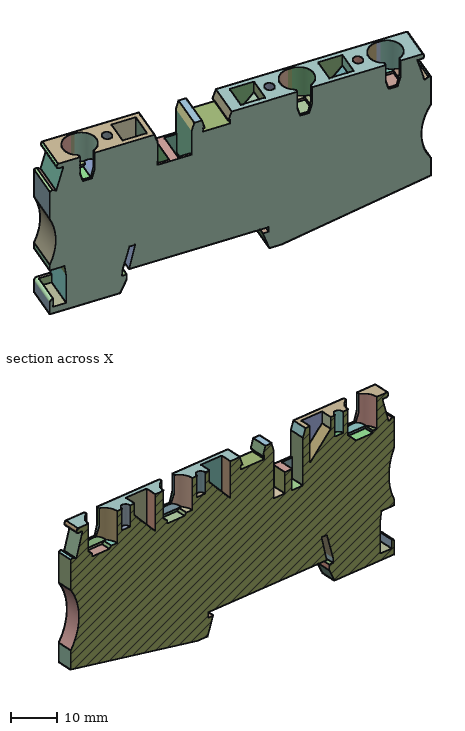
import cadquery as cq

WIDTH = 8.1
HALF_LENGTH = 45.25
HEIGHT = 42.2
CUT_MARGIN = 0.9

LIP_TOP_Y = 43.3
LIP_Y = 43.6
LIP_MIDDLE_Z = 41.5
LIP_BOTTOM_Y = 43.2
LIP_BOTTOM_Z = 40.8
RECESS_TOP_Y = 42.1
RECESS_TOP_Z = 40.5
RECESS_BOTTOM_Y = 43.7
RECESS_BOTTOM_Z = 34.7
SHOULDER_Z = 35.2
SHOULDER_Y = 44.6
SHOULDER_BEVEL = 0.3
GRIP_TOP_Z = 27.15
LEFT_GRIP_BOTTOM_Z = 11.9
LEFT_GRIP_DEPTH = 2.3
RIGHT_GRIP_BOTTOM_Z = 14.1
RIGHT_GRIP_DEPTH = 1.45

BELLY_Z = 6.9
BELLY_END_Y = 9.8
RAIL_Z = 6.1
HOOK_Z = 4.8
HOOK_FOOT_Y = 6.9
HOOK_TIP_Y = 5.3
RAIL_START_Y = 6.7
RAIL_END_Y = -26.4
SPRING_SLIT_Z = 12.5
SPRING_SLIT_Y = -25.0
SPRING_SLIT_WIDTH = 1.4
FOOT_NECK_Y = -28.1
FOOT_TIP_Y = -27.0
FOOT_TIP_Z = 3.35
FOOT_Y = -28.5

RELEASE_Y = -41.7
RELEASE_BOTTOM_Z = 4.2
RELEASE_RIB = 0.8
RELEASE_WALL = 0.7
RELEASE_PIT_DEPTH = 2.3
RELEASE_LEAN_Y = -41.4
RELEASE_LEAN_Z = 9.7

GROOVE_Z = 38.9
GROOVE_LIP_Z = 39.8
GROOVE_START_Y = -2.1
GROOVE_LIP_START_Y = -2.9
GROOVE_WALL_START_Y = -2.35
GROOVE_END_Y = -9.1
GROOVE_LIP_END_Y = -8.4
GROOVE_WALL_END_Y = -8.9
RIDGE_END_Y = -10.95
BRIDGE_START_Y = -11.6
BRIDGE_END_Y = -19.6
BRIDGE_LEAD_Z = 40.0
BRIDGE_EDGE_Y = -20.4
BRIDGE_Z = 33.3

CONTACT_WIDTH = 7.0
CONTACT_LENGTH = 3.0
CONTACT_DEPTH = 5.4

TERMINALS = [(36.3, -1), (15.3, -1), (-36.3, 1)]
TEST_OFFSET = 6.5
POCKET_OFFSET = 11.8
TEST_LENGTH = 2.4
TEST_WIDTH = 2.2
TEST_DEPTH = 5.4
POCKET_SIZE = 5.8
POCKET_SHALLOW_DEPTH = 3.0
POCKET_DEEP_DEPTH = 9.3
WELL_LENGTH = 8.0
WELL_WIDTH = 7.1
WELL_DEPTH = 8.1
WELL_RAMP_X = 2.4
WELL_RAMP_SLOPE = 1.0
FUNNEL_X = (-2.1, WELL_RAMP_X)
FUNNEL_NEAR_Y = 2.35
FUNNEL_FAR_Y = 2.9
FUNNEL_TOE = 0.5
FUNNEL_DEPTH = 0.6
SIDE_SLOT_START_X = 2.7
SIDE_SLOT_WIDTH = 3.5
SIDE_SLOT_TOE = 0.7
SIDE_SLOT_STRAIGHT = 4.5
SIDE_SLOT_DEPTH = 7.1


def extrude_across(outline, x_start, x_end):
    """Prism along X from a closed YZ outline."""
    return outline.close().extrude(x_end - x_start).translate((x_start, 0, 0))


def body():
    grip_left_mid = (HALF_LENGTH - LEFT_GRIP_DEPTH, (GRIP_TOP_Z + LEFT_GRIP_BOTTOM_Z) / 2)
    grip_right_mid = (RIGHT_GRIP_DEPTH - HALF_LENGTH, (GRIP_TOP_Z + RIGHT_GRIP_BOTTOM_Z) / 2)
    outline = (
        cq.Workplane("YZ")
        .moveTo(LIP_TOP_Y, HEIGHT)
        .threePointArc((LIP_Y, LIP_MIDDLE_Z), (LIP_BOTTOM_Y, LIP_BOTTOM_Z))
        .lineTo(RECESS_TOP_Y, LIP_BOTTOM_Z)
        .lineTo(RECESS_TOP_Y, RECESS_TOP_Z)
        .lineTo(RECESS_BOTTOM_Y, RECESS_BOTTOM_Z)
        .lineTo(SHOULDER_Y, SHOULDER_Z)
        .lineTo(HALF_LENGTH, SHOULDER_Z - SHOULDER_BEVEL)
        .lineTo(HALF_LENGTH, GRIP_TOP_Z)
        .threePointArc(grip_left_mid, (HALF_LENGTH, LEFT_GRIP_BOTTOM_Z))
        .lineTo(HALF_LENGTH, BELLY_Z)
        .lineTo(BELLY_END_Y, 0)
        .lineTo(HOOK_FOOT_Y, 0)
        .lineTo(HOOK_TIP_Y, HOOK_Z)
        .lineTo(RAIL_START_Y, HOOK_Z)
        .lineTo(RAIL_START_Y, RAIL_Z)
        .lineTo(RAIL_END_Y, RAIL_Z)
        .lineTo(SPRING_SLIT_Y, SPRING_SLIT_Z)
        .lineTo(SPRING_SLIT_Y - SPRING_SLIT_WIDTH, SPRING_SLIT_Z)
        .lineTo(FOOT_NECK_Y, RAIL_Z)
        .lineTo(FOOT_NECK_Y, HOOK_Z)
        .lineTo(FOOT_TIP_Y, HOOK_Z)
        .lineTo(FOOT_TIP_Y, FOOT_TIP_Z)
        .lineTo(FOOT_Y, 0)
        .lineTo(-HALF_LENGTH, 0)
        .lineTo(-HALF_LENGTH, RELEASE_BOTTOM_Z - RELEASE_RIB)
        .radiusArc((RELEASE_RIB - HALF_LENGTH, RELEASE_BOTTOM_Z), RELEASE_RIB)
        .lineTo(RELEASE_LEAN_Y, RELEASE_BOTTOM_Z)
        .lineTo(RELEASE_LEAN_Y, RELEASE_LEAN_Z)
        .lineTo(RELEASE_Y, SPRING_SLIT_Z)
        .lineTo(-HALF_LENGTH, SPRING_SLIT_Z)
        .lineTo(-HALF_LENGTH, RIGHT_GRIP_BOTTOM_Z)
        .threePointArc(grip_right_mid, (-HALF_LENGTH, GRIP_TOP_Z))
        .lineTo(-HALF_LENGTH, SHOULDER_Z - SHOULDER_BEVEL)
        .lineTo(-SHOULDER_Y, SHOULDER_Z)
        .lineTo(-RECESS_BOTTOM_Y, RECESS_BOTTOM_Z)
        .lineTo(-RECESS_TOP_Y, RECESS_TOP_Z)
        .lineTo(-RECESS_TOP_Y, LIP_BOTTOM_Z)
        .lineTo(-LIP_BOTTOM_Y, LIP_BOTTOM_Z)
        .threePointArc((-LIP_Y, LIP_MIDDLE_Z), (-LIP_TOP_Y, HEIGHT))
        .lineTo(BRIDGE_EDGE_Y, HEIGHT)
        .lineTo(BRIDGE_END_Y, BRIDGE_LEAD_Z)
        .lineTo(BRIDGE_END_Y, BRIDGE_Z)
        .lineTo(BRIDGE_START_Y, BRIDGE_Z)
        .lineTo(BRIDGE_START_Y, BRIDGE_LEAD_Z)
        .lineTo(RIDGE_END_Y, HEIGHT)
        .lineTo(GROOVE_END_Y, HEIGHT)
        .lineTo(GROOVE_LIP_END_Y, GROOVE_LIP_Z)
        .lineTo(GROOVE_WALL_END_Y, GROOVE_LIP_Z)
        .lineTo(GROOVE_WALL_END_Y, GROOVE_Z)
        .lineTo(GROOVE_WALL_START_Y, GROOVE_Z)
        .lineTo(GROOVE_WALL_START_Y, GROOVE_LIP_Z)
        .lineTo(GROOVE_LIP_START_Y, GROOVE_LIP_Z)
        .lineTo(GROOVE_START_Y, HEIGHT)
    )
    return extrude_across(outline, -WIDTH / 2, WIDTH / 2)


def release_pit():
    """Pit in the floor of the release notch, open to the +X side, leaving a rib at the end."""
    outline = (
        cq.Workplane("YZ")
        .moveTo(RELEASE_RIB - HALF_LENGTH, RELEASE_BOTTOM_Z)
        .lineTo(RELEASE_RIB - HALF_LENGTH, RELEASE_BOTTOM_Z - RELEASE_PIT_DEPTH)
        .lineTo(RELEASE_LEAN_Y, RELEASE_BOTTOM_Z - RELEASE_PIT_DEPTH)
        .lineTo(RELEASE_LEAN_Y, RELEASE_BOTTOM_Z)
    )
    return extrude_across(outline, RELEASE_WALL - WIDTH / 2, WIDTH / 2 + CUT_MARGIN)


def contact_pockets():
    centers = [
        (0, BRIDGE_START_Y - CONTACT_LENGTH / 2),
        (0, BRIDGE_END_Y + CONTACT_LENGTH / 2),
    ]
    return (
        cq.Workplane("XY", origin=(0, 0, BRIDGE_Z))
        .pushPoints(centers)
        .rect(CONTACT_WIDTH, CONTACT_LENGTH)
        .extrude(-CONTACT_DEPTH)
    )


def test_hole(y):
    return (
        cq.Workplane("XY", origin=(0, y, HEIGHT))
        .slot2D(TEST_LENGTH, TEST_WIDTH)
        .extrude(-TEST_DEPTH)
    )


def release_pocket(y, direction):
    """Square pocket whose floor slopes down along Y, deepest on the side given by direction."""
    shallow_y = y - direction * POCKET_SIZE / 2
    deep_y = y + direction * POCKET_SIZE / 2
    outline = (
        cq.Workplane("YZ")
        .moveTo(shallow_y, HEIGHT)
        .lineTo(shallow_y, HEIGHT - POCKET_SHALLOW_DEPTH)
        .lineTo(deep_y, HEIGHT - POCKET_DEEP_DEPTH)
        .lineTo(deep_y, HEIGHT)
    )
    return extrude_across(outline, -POCKET_SIZE / 2, POCKET_SIZE / 2)


def wire_well(y, direction):
    """Oval well with ramps on its +Y and +X sides, and a square funnel in its floor."""
    floor_z = HEIGHT - WELL_DEPTH
    near_y = y + direction * FUNNEL_NEAR_Y
    far_y = y - direction * FUNNEL_FAR_Y
    toe_y = near_y - direction * FUNNEL_TOE
    ramp_foot_y = max(near_y, far_y)
    half_length = WELL_LENGTH / 2
    half_width = WELL_WIDTH / 2
    well = (
        cq.Workplane("XY", origin=(0, y, HEIGHT))
        .slot2D(WELL_LENGTH, WELL_WIDTH, 90)
        .extrude(-WELL_DEPTH)
    )
    ramp_y = (
        cq.Workplane("YZ")
        .moveTo(ramp_foot_y, floor_z)
        .lineTo(y + half_length, floor_z + WELL_RAMP_SLOPE * (y + half_length - ramp_foot_y))
        .lineTo(y + half_length, floor_z)
    )
    ramp_x = (
        cq.Workplane("XZ", origin=(0, y + half_length, 0))
        .moveTo(WELL_RAMP_X, floor_z)
        .lineTo(half_width, floor_z + WELL_RAMP_SLOPE * (half_width - WELL_RAMP_X))
        .lineTo(half_width, floor_z)
        .close()
        .extrude(WELL_LENGTH)
    )
    funnel = (
        cq.Workplane("YZ")
        .moveTo(near_y, floor_z)
        .lineTo(toe_y, floor_z - FUNNEL_DEPTH)
        .lineTo(far_y, floor_z - FUNNEL_DEPTH)
        .lineTo(far_y, floor_z)
    )
    well = well.cut(extrude_across(ramp_y, -half_width, half_width)).cut(ramp_x)
    return well.union(extrude_across(funnel, *FUNNEL_X))


def side_slot(y):
    """Slot that opens a wire well to the +X side, narrowing toward its floor."""
    half_width = SIDE_SLOT_WIDTH / 2
    outline = (
        cq.Workplane("YZ")
        .moveTo(y - half_width, HEIGHT)
        .lineTo(y - half_width, HEIGHT - SIDE_SLOT_STRAIGHT)
        .lineTo(y - half_width + SIDE_SLOT_TOE, HEIGHT - SIDE_SLOT_DEPTH)
        .lineTo(y + half_width - SIDE_SLOT_TOE, HEIGHT - SIDE_SLOT_DEPTH)
        .lineTo(y + half_width, HEIGHT - SIDE_SLOT_STRAIGHT)
        .lineTo(y + half_width, HEIGHT)
    )
    return extrude_across(outline, SIDE_SLOT_START_X, WIDTH / 2 + CUT_MARGIN)


result = body().cut(release_pit()).cut(contact_pockets())
for well_y, direction in TERMINALS:
    result = result.cut(wire_well(well_y, direction))
    result = result.cut(side_slot(well_y))
    result = result.cut(test_hole(well_y + direction * TEST_OFFSET))
    result = result.cut(release_pocket(well_y + direction * POCKET_OFFSET, direction))